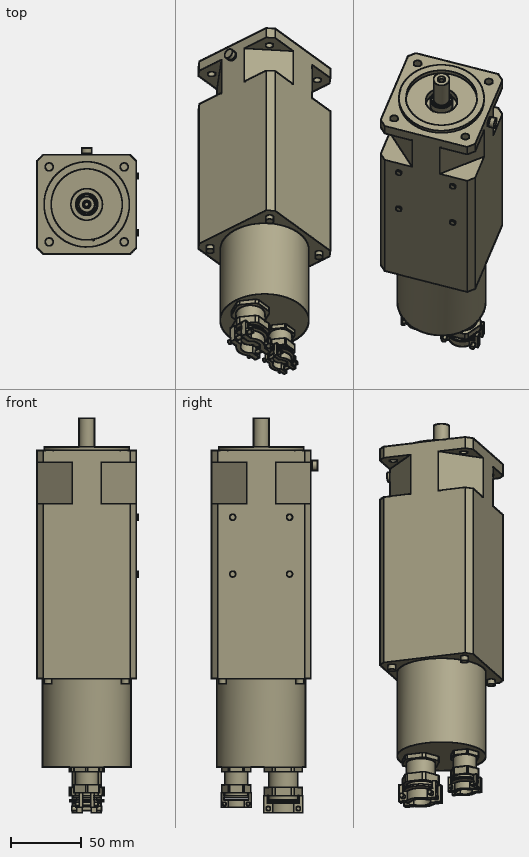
import cadquery as cq
import math


body_width = 70.0
body_corner = 4.5
body_bottom = -160.7

flange_thickness = 8.3
pocket_bottom = -37.5
pocket_leg = 24.7

bolt_spacing = 52.8
bolt_hole_diameter = 5.5
rear_screw_spacing = 54.5
screw_head_diameter = 5.5
screw_head_height = 3.5

pilot_diameter = 60.0
pilot_height = 2.5
pilot_recess_diameter = 50.0
pilot_recess_depth = 3.3
seat_diameter = 22.2
seat_depth = 5.5
collar_diameter = 15.5
collar_height = 6.7
lip_ring_diameter = 13.5
lip_ring_height = 7.2

shaft_diameter = 11.0
shaft_top = 22.8
center_hole_diameter = 3.3
center_countersink_diameter = 5.5
center_hole_depth = 8.3

housing_diameter = 62.5
housing_bottom = -223.0

lock_nut_height = 3.3

plug_diameter = 7.2
plug_reach = 4.7
plug_neck_diameter = 6.7
plug_neck_length = 1.0
plug_z = -10.5

boss_diameter = 4.2
boss_height = 1.0
boss_spacing_y = 40.0
boss_levels = (-47.0, -87.0)


def cylinder(diameter, z_low, z_high, y=0):
    return cq.Workplane("XY", origin=(0, y, z_low)).circle(diameter / 2).extrude(z_high - z_low)


def box(x_size, y_size, z_low, z_high, y=0):
    return cq.Workplane("XY", origin=(0, y, z_low)).rect(x_size, y_size).extrude(z_high - z_low)


def chamfered_prism(width, corner, z_low, z_high):
    return box(width, width, z_low, z_high).edges("|Z").chamfer(corner)


def make_body():
    body = chamfered_prism(body_width, body_corner, body_bottom, 0)
    waist_blank = box(body_width, body_width, pocket_bottom, -flange_thickness)
    waist = chamfered_prism(body_width, pocket_leg, pocket_bottom, -flange_thickness)
    bolt_holes = (
        cq.Workplane("XY")
        .rect(bolt_spacing, bolt_spacing, forConstruction=True)
        .vertices()
        .circle(bolt_hole_diameter / 2)
        .extrude(-flange_thickness)
    )
    return body.cut(waist_blank.cut(waist)).cut(bolt_holes)


def add_shaft_end(body):
    recess_floor = pilot_height - pilot_recess_depth
    seat_floor = recess_floor - seat_depth
    body = body.union(cylinder(pilot_diameter, 0, pilot_height))
    body = body.cut(cylinder(pilot_recess_diameter, recess_floor, pilot_height))
    body = body.cut(cylinder(seat_diameter, seat_floor, recess_floor))
    body = body.union(cylinder(collar_diameter, seat_floor, seat_floor + collar_height))
    body = body.union(cylinder(lip_ring_diameter, seat_floor, seat_floor + lip_ring_height))
    body = body.union(cylinder(shaft_diameter, seat_floor, shaft_top))
    body = body.cut(cylinder(center_hole_diameter, shaft_top - center_hole_depth, shaft_top))
    countersink_radius = center_countersink_diameter / 2
    countersink = cq.Solid.makeCone(
        countersink_radius,
        0,
        countersink_radius,
        pnt=cq.Vector(0, 0, shaft_top),
        dir=cq.Vector(0, 0, -1),
    )
    return body.cut(cq.Workplane(countersink))


def make_rear_screws():
    return (
        cq.Workplane("XY", origin=(0, 0, body_bottom))
        .rect(rear_screw_spacing, rear_screw_spacing, forConstruction=True)
        .vertices()
        .circle(screw_head_diameter / 2)
        .extrude(-screw_head_height)
    )


def make_plug():
    base = cq.Workplane("XZ", origin=(0, body_width / 2, plug_z))
    neck = base.circle(plug_neck_diameter / 2).extrude(-plug_reach)
    head_base = base.workplane(offset=-plug_neck_length)
    head = head_base.circle(plug_diameter / 2).extrude(plug_neck_length - plug_reach)
    return neck.union(head)


def make_side_bosses():
    points = [(side * boss_spacing_y / 2, z) for side in (-1, 1) for z in boss_levels]
    face = cq.Workplane("YZ", origin=(body_width / 2, 0, 0))
    return face.pushPoints(points).circle(boss_diameter / 2).extrude(boss_height)


def hex_nut(across_flats, corner_diameter, z_low, z_high, y):
    """Hexagon with flats toward +X and -X, its corners turned to corner_diameter."""
    full_corners = across_flats / math.cos(math.pi / 6)
    nut = (
        cq.Workplane("XY", origin=(0, y, z_low))
        .transformed(rotate=(0, 0, 90))
        .polygon(6, full_corners)
        .extrude(z_high - z_low)
    )
    return nut.intersect(cylinder(corner_diameter, z_low, z_high, y))


def make_cable_gland(
    y,
    across_flats,
    corner_diameter,
    body_diameter,
    cap_top,
    cap_bottom,
    lip_diameter,
    lip_top,
    lip_bottom,
    clamp_length,
    window_length,
    clamp_gap,
    clamp_width,
    saddle_diameter,
    bore_diameter,
    saddle_top,
    clamp_bottom,
    screw_diameter,
    screw_spacing,
    screw_length,
    screw_z,
):
    """Gland below the housing: two nuts on a round body and a two-jaw cable clamp."""
    gland = hex_nut(across_flats, corner_diameter, housing_bottom - lock_nut_height, housing_bottom, y)
    gland = gland.union(cylinder(body_diameter, lip_top, housing_bottom, y))
    gland = gland.union(hex_nut(across_flats, corner_diameter, cap_bottom, cap_top, y))
    gland = gland.union(cylinder(lip_diameter, lip_bottom, lip_top, y))

    jaws = box(clamp_width, clamp_length, clamp_bottom, cap_bottom, y=y)
    jaws = jaws.cut(box(clamp_width, window_length, saddle_top, cap_bottom, y=y))
    jaws = jaws.union(cylinder(saddle_diameter, clamp_bottom, saddle_top, y))
    jaws = jaws.cut(cylinder(bore_diameter, clamp_bottom, saddle_top, y))
    jaws = jaws.cut(box(clamp_gap, clamp_length, clamp_bottom, cap_bottom, y=y))

    clamp_screws = (
        cq.Workplane("YZ", origin=(-screw_length / 2, y, screw_z))
        .pushPoints([(-screw_spacing / 2, 0), (screw_spacing / 2, 0)])
        .circle(screw_diameter / 2)
        .extrude(screw_length)
    )
    return gland.union(jaws).union(clamp_screws)


large_gland = make_cable_gland(
    y=15.5,
    across_flats=24.5,
    corner_diameter=27.0,
    body_diameter=20.5,
    cap_top=-237.2,
    cap_bottom=-243.0,
    lip_diameter=24.2,
    lip_top=-245.8,
    lip_bottom=-247.2,
    clamp_length=27.5,
    window_length=22.2,
    clamp_gap=6.0,
    clamp_width=14.0,
    saddle_diameter=20.3,
    bore_diameter=14.0,
    saddle_top=-248.3,
    clamp_bottom=-255.3,
    screw_diameter=3.0,
    screw_spacing=21.0,
    screw_length=21.0,
    screw_z=-252.2,
)

small_gland = make_cable_gland(
    y=-17.5,
    across_flats=18.4,
    corner_diameter=20.5,
    body_diameter=16.5,
    cap_top=-235.5,
    cap_bottom=-241.0,
    lip_diameter=19.0,
    lip_top=-243.3,
    lip_bottom=-244.7,
    clamp_length=21.0,
    window_length=17.2,
    clamp_gap=5.5,
    clamp_width=10.5,
    saddle_diameter=15.5,
    bore_diameter=10.5,
    saddle_top=-246.0,
    clamp_bottom=-251.5,
    screw_diameter=2.5,
    screw_spacing=16.7,
    screw_length=16.0,
    screw_z=-249.0,
)

motor = add_shaft_end(make_body())
motor = motor.union(cylinder(housing_diameter, housing_bottom, body_bottom))
motor = motor.union(make_rear_screws())
motor = motor.union(make_plug())
motor = motor.union(make_side_bosses())
result = motor.union(large_gland).union(small_gland)